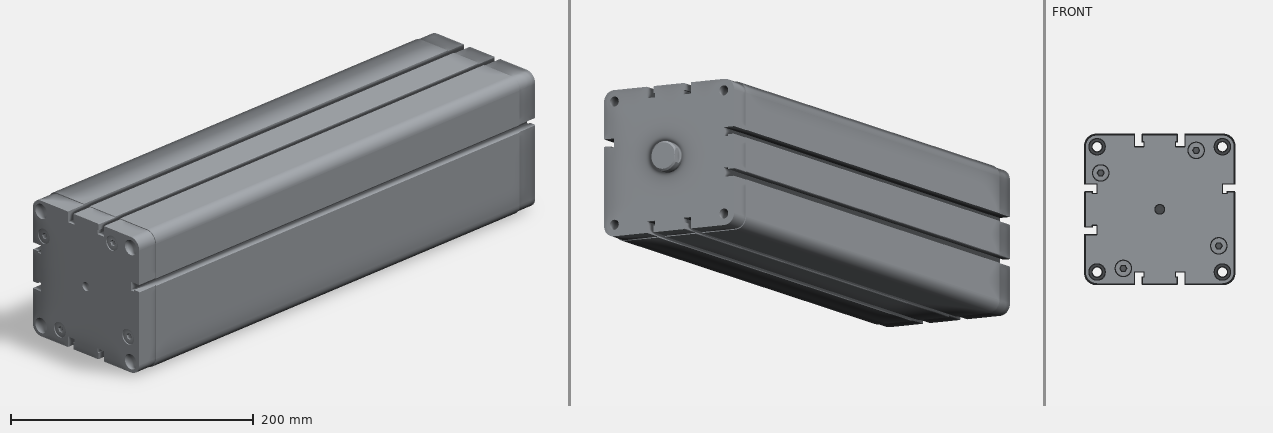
import cadquery as cq
import math

total_length = 476.5
rod_projection = 10.0
housing_length = total_length - rod_projection
cap_length = 19.0
barrel_width = 124.0
barrel_corner_radius = 10.0
cap_inset = 0.75
cap_width = barrel_width - 2 * cap_inset
cap_corner_radius = barrel_corner_radius - cap_inset

front_y = -total_length / 2
rod_face_y = front_y + housing_length

slot_outer_side = 20.75
slot_mouth_width = 6.2
slot_undercut = 1.4
slot_depth = 10.3
slot_lip_thickness = 6.5
slot_lip_chamfer = 0.5

mounting_hole_pitch = 103.2
mounting_hole_diameter = 8.38
mounting_counterbore_diameter = 13.5
mounting_counterbore_depth = cap_length

screw_near_offset = 30.0
screw_far_offset = 48.6
screw_recess_diameter = 13.5
screw_recess_depth = 1.0
screw_socket_width = 5.0
screw_socket_depth = 4.0

center_hole_diameter = 8.0
center_hole_depth = 12.0

rod_diameter = 25.0
rod_flat_width = 22.0
rod_flat_start = 1.8
rod_chamfer = 1.5


def along_y(start_y):
    """XZ sketch plane at start_y; positive extrusion runs towards +Y."""
    return cq.Workplane(cq.Plane(origin=(0, start_y, 0), xDir=(-1, 0, 0), normal=(0, 1, 0)))


def rounded_bar(width, corner_radius, start_y, length):
    return along_y(start_y).rect(width, width).extrude(length).edges("|Y").fillet(corner_radius)


def make_slot(face_height, start_y, length):
    """Cutter for the slot on the -X side of a top face at face_height."""
    floor_height = barrel_width / 2 - slot_depth
    lip_height = barrel_width / 2 - slot_lip_thickness
    lip_x = slot_mouth_width - slot_outer_side
    undercut_x = lip_x + slot_undercut
    section = [
        (-slot_outer_side, floor_height),
        (undercut_x, floor_height),
        (undercut_x, lip_height),
        (lip_x, lip_height),
        (lip_x, face_height - slot_lip_chamfer),
        (lip_x + slot_lip_chamfer, face_height),
        (-slot_outer_side, face_height),
    ]
    section_plane = cq.Workplane("XZ", origin=(0, start_y, 0))
    return section_plane.polyline(section).close().extrude(-length)


def make_slot_set(face_height, start_y, length):
    """The seven slots: two on every side except +X, which has only the upper one."""
    top_left = make_slot(face_height, start_y, length)
    top_right = top_left.mirror("YZ")
    left_lower = top_left.rotate((0, 0, 0), (0, 1, 0), -90)
    left_upper = left_lower.mirror("XY")
    right_upper = left_upper.mirror("YZ")
    bottom_left = top_left.mirror("XY")
    bottom_right = top_right.mirror("XY")
    return [top_left, top_right, left_lower, left_upper, right_upper, bottom_left, bottom_right]


def make_slotted_bar(width, corner_radius, start_y, length):
    bar = rounded_bar(width, corner_radius, start_y, length)
    for slot in make_slot_set(width / 2, start_y, length):
        bar = bar.cut(slot)
    return bar


def make_housing():
    """Both end caps as one full-length bar, with the slightly larger barrel around its middle."""
    caps = make_slotted_bar(cap_width, cap_corner_radius, front_y, housing_length)
    barrel_length = housing_length - 2 * cap_length
    barrel = make_slotted_bar(barrel_width, barrel_corner_radius, front_y + cap_length, barrel_length)
    return caps.union(barrel)


def cut_mounting_holes(body):
    holes = along_y(front_y).rect(mounting_hole_pitch, mounting_hole_pitch, forConstruction=True).vertices()
    body = body.cut(holes.circle(mounting_hole_diameter / 2).extrude(housing_length))
    return body.cut(holes.circle(mounting_counterbore_diameter / 2).extrude(mounting_counterbore_depth))


def cut_screws(body):
    near, far = screw_near_offset, screw_far_offset
    places = along_y(front_y).pushPoints([(near, -far), (far, near), (-near, far), (-far, -near)])
    socket_corner_diameter = screw_socket_width / math.cos(math.pi / 6)
    body = body.cut(places.circle(screw_recess_diameter / 2).extrude(screw_recess_depth))
    return body.cut(places.polygon(6, socket_corner_diameter).extrude(screw_recess_depth + screw_socket_depth))


def make_rod():
    """Rod end with two wrench flats that run out at 45 degrees near the housing."""
    rod = along_y(rod_face_y).circle(rod_diameter / 2).extrude(rod_projection)
    rod = rod.faces(">Y").chamfer(rod_chamfer)
    runout_y = rod_face_y + rod_flat_start
    end_y = rod_face_y + rod_projection
    flat_depth = (rod_diameter - rod_flat_width) / 2
    flat_cut = (
        cq.Workplane("XY", origin=(0, 0, -rod_diameter / 2))
        .moveTo(rod_diameter / 2, runout_y)
        .lineTo(rod_flat_width / 2, runout_y + flat_depth)
        .lineTo(rod_flat_width / 2, end_y)
        .lineTo(rod_diameter / 2, end_y)
        .close()
        .extrude(rod_diameter)
    )
    return rod.cut(flat_cut).cut(flat_cut.mirror("YZ"))


housing = cut_screws(cut_mounting_holes(make_housing()))
housing = housing.cut(along_y(front_y).circle(center_hole_diameter / 2).extrude(center_hole_depth))
result = housing.union(make_rod())